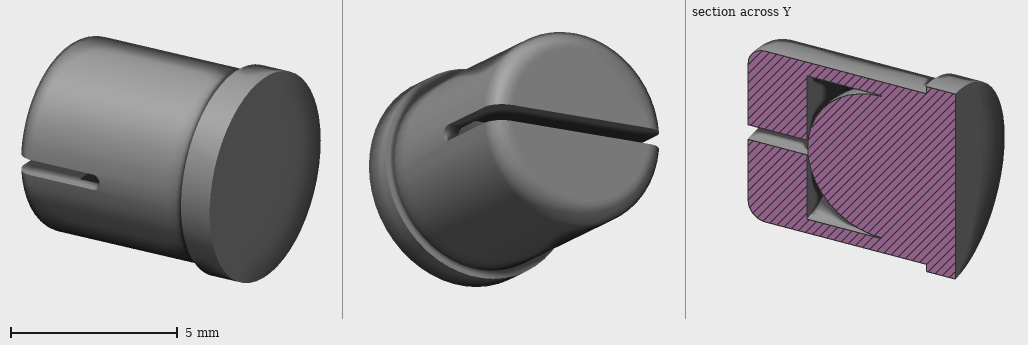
import cadquery as cq

total_length = 7.0
flange_diameter = 6.5
flange_length = 1.0
body_diameter = 6.0
nose_radius = 0.6

slot_width = 0.5
slot_depth = 3.0

cavity_diameter = 5.0
core_diameter = 4.98
core_tip_x = 2.0

body_length = total_length - flange_length
core_radius = core_diameter / 2
dome_center_x = core_tip_x + core_radius
slot_end_radius = slot_width / 2
slot_end_center_x = slot_depth - slot_end_radius


def disc(diameter, start_x, length):
    """Cylinder along X, starting at start_x."""
    return cq.Workplane("YZ", origin=(start_x, 0, 0)).circle(diameter / 2).extrude(length)


def make_shell():
    """Round body with a rounded nose and a flange at the far end."""
    body = disc(body_diameter, 0, body_length).faces("<X").edges().fillet(nose_radius)
    return body.union(disc(flange_diameter, body_length, flange_length))


def make_slot():
    """Slot across the nose along Y, ending in a half-round bottom."""
    return (
        cq.Workplane("XZ")
        .moveTo(0, -slot_end_radius)
        .lineTo(slot_end_center_x, -slot_end_radius)
        .threePointArc((slot_depth, 0), (slot_end_center_x, slot_end_radius))
        .lineTo(0, slot_end_radius)
        .close()
        .extrude(body_diameter / 2, both=True)
    )


def make_core_dome():
    """Hemisphere rising from the cavity floor, its tip toward the nose."""
    return (
        cq.Workplane("XY")
        .moveTo(core_tip_x, 0)
        .radiusArc((dome_center_x, core_radius), core_radius)
        .lineTo(dome_center_x, 0)
        .close()
        .revolve(360, (0, 0, 0), (1, 0, 0))
    )


cavity = disc(cavity_diameter, core_tip_x, dome_center_x - core_tip_x)
result = make_shell().cut(cavity).cut(make_slot()).union(make_core_dome())